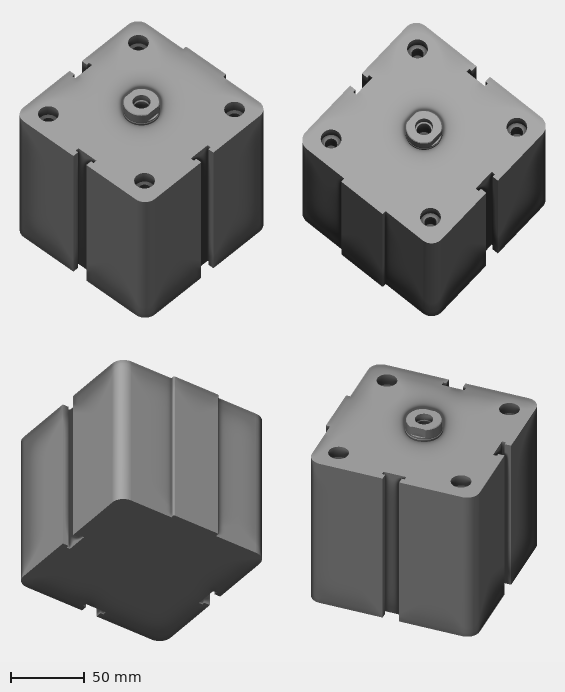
import cadquery as cq

BLOCK_SIDE = 122.0
CORNER_RADIUS = 9.1
TOTAL_HEIGHT = 126.5
ROD_PROJECTION = 10.0
HOUSING_HEIGHT = TOTAL_HEIGHT - ROD_PROJECTION
END_CAP_DEPTH = 19.5
HALF_SIDE = BLOCK_SIDE / 2

RAIL_WIDTH = 37.2
TOTAL_DEPTH = 125.0
RAIL_HEIGHT = TOTAL_DEPTH - BLOCK_SIDE
RAIL_EDGE_RADIUS = 0.8

SLOT_MOUTH_WIDTH = 12.0
SLOT_INNER_WIDTH = 16.6
SLOT_DEPTH = 7.5
SLOT_LIP = 4.7
SLOT_ANGLES = (0, 90, -90)

SCREW_SPACING = 89.0
SCREW_HOLE_DIAMETER = 8.3
SCREW_HOLE_DEPTH = END_CAP_DEPTH
COUNTERBORE_DIAMETER = 14.0
COUNTERBORE_DEPTH = 8.5

ROD_DIAMETER = 25.0
ROD_TIP_DIAMETER = 24.5
ROD_SHOULDER_HEIGHT = 1.8
ROD_TIP_CHAMFER = 0.5
SHOULDER_CHAMFER = (ROD_DIAMETER - ROD_TIP_DIAMETER) / 2
ROD_SEAT_Z = HOUSING_HEIGHT - END_CAP_DEPTH
FLAT_SPACING = 22.0
FLAT_LENGTH = 6.8

MOUTH_DIAMETER = 12.3
MOUTH_DEPTH = 5.0
BORE_DIAMETER = 10.0
BORE_DEPTH = 19.0


def block():
    """Square block with rounded upright corners."""
    return (
        cq.Workplane("XY")
        .rect(BLOCK_SIDE, BLOCK_SIDE)
        .extrude(HOUSING_HEIGHT)
        .edges("|Z")
        .fillet(CORNER_RADIUS)
    )


def side_rail():
    """Full-height rail standing out from the +Y side; half of it lies inside the block."""
    return (
        cq.Workplane("XY")
        .center(0, HALF_SIDE)
        .rect(RAIL_WIDTH, 2 * RAIL_HEIGHT)
        .extrude(HOUSING_HEIGHT)
        .edges("|Z and >Y")
        .fillet(RAIL_EDGE_RADIUS)
    )


def t_slot(angle):
    """Full-height T-slot cutter for the -Y side, turned about Z by the angle."""
    mouth = cq.Workplane("XY").box(
        SLOT_MOUTH_WIDTH, SLOT_DEPTH, HOUSING_HEIGHT, centered=(True, False, False)
    )
    undercut = (
        cq.Workplane("XY")
        .box(SLOT_INNER_WIDTH, SLOT_DEPTH - SLOT_LIP, HOUSING_HEIGHT, centered=(True, False, False))
        .translate((0, SLOT_LIP, 0))
    )
    slot = mouth.union(undercut).translate((0, -HALF_SIDE, 0))
    return slot.rotate((0, 0, 0), (0, 0, 1), angle)


def rod_seat():
    """Blind round recess that the rod fills."""
    return (
        cq.Workplane("XY", origin=(0, 0, ROD_SEAT_Z))
        .circle(ROD_DIAMETER / 2)
        .extrude(END_CAP_DEPTH)
    )


def build_housing():
    body = block().union(side_rail())
    for angle in SLOT_ANGLES:
        body = body.cut(t_slot(angle))
    body = body.cut(rod_seat())
    return (
        body.faces(">Z")
        .workplane(origin=(0, 0, 0))
        .rect(SCREW_SPACING, SCREW_SPACING, forConstruction=True)
        .vertices()
        .cboreHole(SCREW_HOLE_DIAMETER, COUNTERBORE_DIAMETER, COUNTERBORE_DEPTH, SCREW_HOLE_DEPTH)
    )


def rod_blank():
    """Seated shank whose chamfered shoulder leads into a slightly smaller, chamfered tip."""
    shank_length = END_CAP_DEPTH + ROD_SHOULDER_HEIGHT
    tip_length = ROD_PROJECTION - ROD_SHOULDER_HEIGHT
    shank = (
        cq.Workplane("XY", origin=(0, 0, ROD_SEAT_Z))
        .circle(ROD_DIAMETER / 2)
        .extrude(shank_length)
        .faces(">Z")
        .chamfer(SHOULDER_CHAMFER)
    )
    tip = (
        cq.Workplane("XY", origin=(0, 0, ROD_SEAT_Z + shank_length))
        .circle(ROD_TIP_DIAMETER / 2)
        .extrude(tip_length)
        .faces(">Z")
        .chamfer(ROD_TIP_CHAMFER)
    )
    return shank.union(tip)


def wrench_flats():
    """Cutter for the two flats facing -X and +X at the rod tip."""
    outside = cq.Workplane("XY").box(
        2 * ROD_DIAMETER, 2 * ROD_DIAMETER, FLAT_LENGTH, centered=(True, True, False)
    )
    kept = cq.Workplane("XY").box(
        FLAT_SPACING, 2 * ROD_DIAMETER, FLAT_LENGTH, centered=(True, True, False)
    )
    return outside.cut(kept).translate((0, 0, TOTAL_HEIGHT - FLAT_LENGTH))


def tip_bore():
    """Blind bore with a wider mouth, revolved about the rod axis."""
    mouth_radius = MOUTH_DIAMETER / 2
    bore_radius = BORE_DIAMETER / 2
    mouth_floor = TOTAL_HEIGHT - MOUTH_DEPTH
    bore_floor = TOTAL_HEIGHT - BORE_DEPTH
    return (
        cq.Workplane("XZ")
        .moveTo(0, TOTAL_HEIGHT)
        .lineTo(mouth_radius, TOTAL_HEIGHT)
        .lineTo(mouth_radius, mouth_floor)
        .lineTo(bore_radius, mouth_floor)
        .lineTo(bore_radius, bore_floor)
        .lineTo(0, bore_floor)
        .close()
        .revolve(360, (0, 0, 0), (0, 1, 0))
    )


def build_rod():
    return rod_blank().cut(wrench_flats()).cut(tip_bore())


housing = build_housing()
rod = build_rod()

result = cq.Compound.makeCompound([housing.solids().val(), rod.solids().val()])